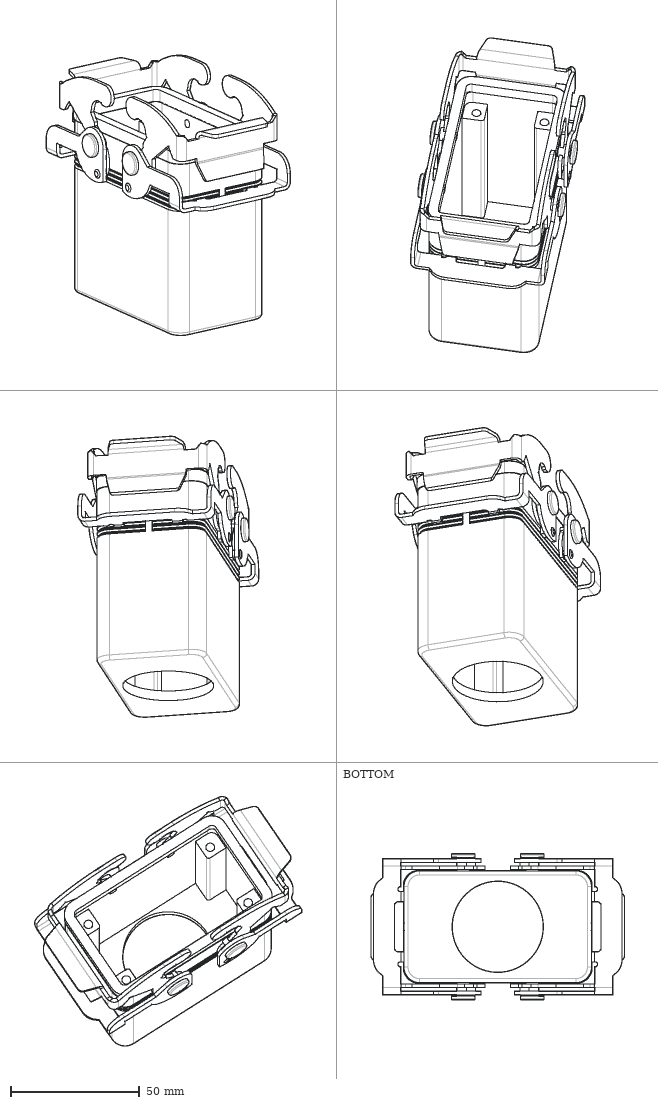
import cadquery as cq
import math

BODY_X = 73.0
BODY_Y = 43.5
BAND_X = 73.6
BAND_Y = 43.9
CORNER_RADIUS = 6.0
HOUSING_HEIGHT = 75.9
BAND_BOTTOM_Z = 71.0
BASE_FILLET = 1.6

MOUTH_X = 65.7
MOUTH_Y = 36.0
MOUTH_CORNER = 2.0
CAVITY_UNDERCUT = 0.6
CAVITY_X = MOUTH_X + 2 * CAVITY_UNDERCUT
CAVITY_Y = MOUTH_Y + 2 * CAVITY_UNDERCUT
CAVITY_CORNER = 3.0
FLOOR_THICKNESS = 4.0
FLOOR_HOLE_RADIUS = 17.7

POST_X = 8.5
POST_Y = 8.7
POST_TOP_Z = 64.0
POST_CORNER = 1.1
SCREW_HOLE_X = 28.4
SCREW_HOLE_Y = 13.5
SCREW_HOLE_RADIUS = 1.7
SCREW_HOLE_DEPTH = 19.8
DRILL_POINT_ANGLE = 118.0

GROOVE_COUNT = 3
GROOVE_TOP_Z = 57.4
GROOVE_PITCH = 2.1
GROOVE_WIDTH = 1.8
GROOVE_FLOOR = 0.4
GROOVE_DEPTH = 0.8
RIB_WIDTH = 2.8

SHEET = 1.5
BEND_INSIDE = 1.4
BEND_OUTSIDE = BEND_INSIDE + SHEET

PIVOT_X = -13.5
PIVOT_Z = 66.8
PIN_RADIUS = 2.6
PIN_TIP_RADIUS = 1.6
PIN_HEAD_RADIUS = 4.7
PIN_HEAD_INNER_Y = 27.0
PIN_HEAD_OUTER_Y = 28.5
PIN_HEAD_FILLET = 0.5
RIVET_X = -10.4
RIVET_Z = 55.8
RIVET_RADIUS = 1.8
RIVET_TIP_RADIUS = 1.1
RIVET_TIP_HEIGHT = 0.5

BRACKET_HALF_Y = 23.8
WALL_X = -41.8
WALL_BOTTOM_Z = 74.2
WALL_TOP_Z = 82.1
CHEEK_TOP_Z = 84.4
WALL_DIP_FLOOR_HALF_Y = 19.9
WALL_DIP_TOP_HALF_Y = 21.8
HOOK_TOP_Z = 91.9
BROW_START = (-38.9, CHEEK_TOP_Z)
BROW_MIDDLE = (-29.1, 89.7)
BROW_END_X = -17.2
HOOK_NOSE_X = -9.3
HOOK_NOSE_RADIUS = 4.4
HOOK_NOSE_END_X = -10.8
HOOK_THROAT_Z = 79.6
HOOK_THROAT_RADIUS = 4.8
HOOK_THROAT_ANGLES = (70, 125, 178)
THROAT_KNEE = (-18.8, 78.2)
HOOK_NECK_X = -16.3
HOOK_NECK_TOP_Z = 74.8
HOOK_NECK_BOTTOM_Z = 73.2
EYE_LEFT_X = -22.7
EYE_SHOULDER_Z = 70.3
EYE_Z = 64.9
EYE_RADIUS = 7.0
EYE_BULGE = (-8.1, 59.7)
EYE_BULGE_TOP = (-9.4, 65.3)
FOOT_INNER_X = -9.4
FOOT_OUTER_X = -12.9
FOOT_BOTTOM_Z = 54.4
NOTCH_PEAK = (-33.4, 78.7)
NOTCH_FOOT = (-35.9, 75.2)
NOTCH_FOOT_BEND = (-36.5, 74.5)
NOTCH_FOOT_END_X = -37.4

LIP_END_X = -49.5
LIP_ROOT_HALF_Y = 15.5
LIP_BEND_Z = WALL_TOP_Z + 0.4
LIP_SHOULDER_X = -47.9
LIP_SHOULDER_HALF_Y = 13.2
LIP_CORNER_X = -49.0
LIP_CORNER_HALF_Y = 12.5
LIP_END_HALF_Y = 11.0

FLAP_ANGLE = 25.0
FLAP_BEND_Z = 72.7
FLAP_LENGTH = 7.5
FLAP_ROOT_HALF_Y = 16.0
FLAP_SHOULDER = (15.6, 71.6)
FLAP_CORNER_START = (14.0, 66.0)
FLAP_CORNER_MIDDLE = (13.4, 65.0)
FLAP_TIP_HALF_Y = 12.2

HANDLE_HALF_Y = 26.5
PLATE_BOTTOM_Z = 54.4
PLATE_TOP_Z = PLATE_BOTTOM_Z + SHEET
LEG_OUTER_X = -44.8
LEG_INNER_X = -37.7
HANDLE_BEND_INSIDE = 1.3
HANDLE_BEND_OUTSIDE = HANDLE_BEND_INSIDE + SHEET
LEG_ROOT_Z = 57.3
LEG_TOP_Z = 67.8
LEG_UNDERSIDE_Z = 60.9
LEG_ELBOW_RADIUS = 6.9
LEG_HEAD_RADIUS = 7.0
LEG_NECK_X = -23.2
LEG_HEEL_X = -25.0
LEG_HEEL_BOTTOM_Z = 57.4
LEG_BOTTOM_X = -12.2
LEG_BOTTOM_Z = 52.3
LEG_CORNER_Z = 53.4

THUMB_X = -48.5
THUMB_HALF_Y = 12.9
THUMB_SHOULDER_MIDDLE = (-47.7, 16.0)
THUMB_SHOULDER_END = (-46.5, 17.7)
THUMB_ROOT_HALF_Y = 19.1
WINDOW_X = -40.2
WINDOW_CORNER = 1.4
TAB_INNER_Y = 9.7
TAB_OUTER_Y = 13.8
TAB_BOTTOM_Z = 53.6
TAB_TOP_Z = 55.7
RELIEF_WIDTH = 1.8
RELIEF_DEPTH = 1.1
RELIEF_CORNER = 0.7


def box_between(x_range, y_range, z_range):
    """Box given by its two limits along each axis."""
    return cq.Workplane("XY").box(
        x_range[1] - x_range[0],
        y_range[1] - y_range[0],
        z_range[1] - z_range[0],
        centered=False,
    ).translate((x_range[0], y_range[0], z_range[0]))


def rounded_block(size_x, size_y, corner, bottom, top):
    """Upright block centred on Z with rounded vertical edges."""
    block = cq.Workplane("XY").workplane(offset=bottom).rect(size_x, size_y).extrude(top - bottom)
    return block.edges("|Z").fillet(corner)


def cylinder_y(x, z, radius, y_start, y_end):
    """Cylinder along Y."""
    start = cq.Vector(x, y_start, z)
    return cq.Workplane(cq.Solid.makeCylinder(radius, y_end - y_start, start, cq.Vector(0, 1, 0)))


def on_both_y_sides(shape):
    return shape.union(shape.mirror("XZ"))


def seal_groove(top):
    """Trapezoidal groove round the body, interrupted by a rib on each X end."""
    slope = (GROOVE_WIDTH - GROOVE_FLOOR) / 2
    bottom = top - GROOVE_WIDTH
    ring = rounded_block(BAND_X, BAND_Y, CORNER_RADIUS, bottom, top)
    floor_size = (BODY_X - 2 * GROOVE_DEPTH, BODY_Y - 2 * GROOVE_DEPTH)
    floor_corner = CORNER_RADIUS - GROOVE_DEPTH
    core = rounded_block(*floor_size, floor_corner, bottom, top)
    taper = math.degrees(math.atan2(GROOVE_DEPTH, slope))
    for face_z, direction in ((bottom, 1), (top, -1)):
        flank = (
            cq.Workplane("XY")
            .workplane(offset=face_z)
            .sketch()
            .rect(BODY_X, BODY_Y)
            .vertices()
            .fillet(CORNER_RADIUS)
            .finalize()
            .extrude(direction * slope, taper=taper)
        )
        core = core.union(flank)
    rib = cq.Workplane("XY").workplane(offset=bottom).rect(BAND_X, RIB_WIDTH).extrude(GROOVE_WIDTH)
    return ring.cut(core).cut(rib)


def screw_hole():
    """Blind hole with a drill-point bottom."""
    point_height = SCREW_HOLE_RADIUS / math.tan(math.radians(DRILL_POINT_ANGLE / 2))
    bottom = POST_TOP_Z - SCREW_HOLE_DEPTH
    profile = [(0, POST_TOP_Z), (SCREW_HOLE_RADIUS, POST_TOP_Z), (SCREW_HOLE_RADIUS, bottom)]
    profile.append((0, bottom - point_height))
    return cq.Workplane("XZ").polyline(profile).close().revolve(360, (0, 0, 0), (0, 1, 0))


def make_housing():
    body = rounded_block(BODY_X, BODY_Y, CORNER_RADIUS, 0, HOUSING_HEIGHT)
    body = body.faces("<Z").edges().fillet(BASE_FILLET)
    band = rounded_block(BAND_X, BAND_Y, CORNER_RADIUS, BAND_BOTTOM_Z, HOUSING_HEIGHT)
    body = body.union(band)

    cavity = rounded_block(CAVITY_X, CAVITY_Y, CAVITY_CORNER, FLOOR_THICKNESS, BAND_BOTTOM_Z)
    mouth = rounded_block(MOUTH_X, MOUTH_Y, MOUTH_CORNER, BAND_BOTTOM_Z, HOUSING_HEIGHT)
    for side_x in (-1, 1):
        for side_y in (-1, 1):
            post = rounded_block(2 * POST_X, 2 * POST_Y, POST_CORNER, FLOOR_THICKNESS, POST_TOP_Z)
            cavity = cavity.cut(post.translate((side_x * CAVITY_X / 2, side_y * CAVITY_Y / 2, 0)))
    body = body.cut(cavity).cut(mouth)
    body = body.cut(cq.Workplane("XY").circle(FLOOR_HOLE_RADIUS).extrude(FLOOR_THICKNESS))

    for side_x in (-1, 1):
        for side_y in (-1, 1):
            body = body.cut(screw_hole().translate((side_x * SCREW_HOLE_X, side_y * SCREW_HOLE_Y, 0)))
    for index in range(GROOVE_COUNT):
        body = body.cut(seal_groove(GROOVE_TOP_Z - index * GROOVE_PITCH))
    for side in (-1, 1):
        body = body.cut(cylinder_y(side * PIVOT_X, PIVOT_Z, PIN_TIP_RADIUS, -BODY_Y / 2, BODY_Y / 2))
    return body


def bracket_outline():
    """Side outline of a cheek, running back to the outer face of the back wall."""
    nose_z = HOOK_TOP_Z - HOOK_NOSE_RADIUS
    nose_bottom = nose_z - HOOK_NOSE_RADIUS
    throat_start, throat_middle, throat_end = HOOK_THROAT_ANGLES
    eye_x = EYE_LEFT_X + EYE_RADIUS
    eye_bottom = EYE_Z - EYE_RADIUS
    eye_diagonal = EYE_RADIUS * math.sqrt(0.5)

    def throat(angle):
        radians = math.radians(angle)
        x = PIVOT_X + HOOK_THROAT_RADIUS * math.cos(radians)
        return x, HOOK_THROAT_Z + HOOK_THROAT_RADIUS * math.sin(radians)

    return (
        cq.Workplane("XZ")
        .moveTo(WALL_X, WALL_BOTTOM_Z)
        .lineTo(WALL_X, CHEEK_TOP_Z)
        .lineTo(*BROW_START)
        .threePointArc(BROW_MIDDLE, (BROW_END_X, HOOK_TOP_Z))
        .lineTo(HOOK_NOSE_X, HOOK_TOP_Z)
        .threePointArc((HOOK_NOSE_X + HOOK_NOSE_RADIUS, nose_z), (HOOK_NOSE_X, nose_bottom))
        .lineTo(HOOK_NOSE_END_X, nose_bottom)
        .lineTo(*throat(throat_start))
        .threePointArc(throat(throat_middle), throat(throat_end))
        .lineTo(*THROAT_KNEE)
        .lineTo(HOOK_NECK_X, HOOK_NECK_TOP_Z)
        .lineTo(HOOK_NECK_X, HOOK_NECK_BOTTOM_Z)
        .lineTo(*EYE_BULGE_TOP)
        .threePointArc(EYE_BULGE, (FOOT_INNER_X, FOOT_BOTTOM_Z))
        .lineTo(FOOT_OUTER_X, FOOT_BOTTOM_Z)
        .lineTo(FOOT_OUTER_X, eye_bottom)
        .lineTo(eye_x, eye_bottom)
        .threePointArc((eye_x - eye_diagonal, EYE_Z - eye_diagonal), (EYE_LEFT_X, EYE_Z))
        .lineTo(EYE_LEFT_X, EYE_SHOULDER_Z)
        .lineTo(*NOTCH_PEAK)
        .lineTo(*NOTCH_FOOT)
        .threePointArc(NOTCH_FOOT_BEND, (NOTCH_FOOT_END_X, WALL_BOTTOM_Z))
        .close()
        .extrude(BRACKET_HALF_Y, both=True)
    )


def upright_channel():
    """U-shaped sheet standing upright: the back wall and both cheeks, rounded at the bends."""
    height = HOOK_TOP_Z
    reach = -WALL_X
    outer = box_between((WALL_X, 0), (-BRACKET_HALF_Y, BRACKET_HALF_Y), (0, height))
    outer = outer.edges("|Z and <X").fillet(BEND_OUTSIDE)
    inner_half_y = BRACKET_HALF_Y - SHEET
    inner = box_between((WALL_X + SHEET, reach), (-inner_half_y, inner_half_y), (0, height))
    inner = inner.edges("|Z and <X").fillet(BEND_INSIDE)
    return outer.cut(inner)


def wall_dip():
    """Lowered middle of the back wall's top edge."""
    return (
        cq.Workplane("YZ")
        .workplane(offset=WALL_X)
        .polyline(
            [
                (-WALL_DIP_FLOOR_HALF_Y, WALL_TOP_Z),
                (WALL_DIP_FLOOR_HALF_Y, WALL_TOP_Z),
                (WALL_DIP_TOP_HALF_Y, CHEEK_TOP_Z),
                (-WALL_DIP_TOP_HALF_Y, CHEEK_TOP_Z),
            ]
        )
        .close()
        .extrude(SHEET)
    )


def lip():
    """Thumb lip that curls outward from the top of the back wall and tapers toward its end."""
    bend_x = WALL_X - BEND_INSIDE
    diagonal = math.sqrt(0.5)
    profile = (
        cq.Workplane("XZ")
        .moveTo(WALL_X, WALL_TOP_Z)
        .lineTo(WALL_X + SHEET, WALL_TOP_Z)
        .lineTo(WALL_X + SHEET, LIP_BEND_Z)
        .threePointArc(
            (bend_x + BEND_OUTSIDE * diagonal, LIP_BEND_Z + BEND_OUTSIDE * diagonal),
            (bend_x, LIP_BEND_Z + BEND_OUTSIDE),
        )
        .lineTo(LIP_END_X, LIP_BEND_Z + BEND_OUTSIDE)
        .lineTo(LIP_END_X, LIP_BEND_Z + BEND_INSIDE)
        .lineTo(bend_x, LIP_BEND_Z + BEND_INSIDE)
        .threePointArc(
            (bend_x + BEND_INSIDE * diagonal, LIP_BEND_Z + BEND_INSIDE * diagonal),
            (WALL_X, LIP_BEND_Z),
        )
        .close()
        .extrude(LIP_ROOT_HALF_Y, both=True)
    )
    plan = (
        cq.Workplane("XY")
        .moveTo(WALL_X + SHEET, -LIP_ROOT_HALF_Y)
        .lineTo(WALL_X + SHEET, LIP_ROOT_HALF_Y)
        .lineTo(LIP_SHOULDER_X, LIP_SHOULDER_HALF_Y)
        .threePointArc((LIP_CORNER_X, LIP_CORNER_HALF_Y), (LIP_END_X, LIP_END_HALF_Y))
        .lineTo(LIP_END_X, -LIP_END_HALF_Y)
        .threePointArc((LIP_CORNER_X, -LIP_CORNER_HALF_Y), (LIP_SHOULDER_X, -LIP_SHOULDER_HALF_Y))
        .close()
        .extrude(HOOK_TOP_Z)
    )
    return profile.intersect(plan)


def flap():
    """Skirt that hangs from the back wall and slants outward, narrowing to rounded corners."""
    angle = math.radians(FLAP_ANGLE)
    bend_x = WALL_X - BEND_INSIDE

    def bend_point(radius, turn):
        return bend_x + radius * math.cos(turn), FLAP_BEND_Z - radius * math.sin(turn)

    def flap_end(start):
        return start[0] - FLAP_LENGTH * math.sin(angle), start[1] - FLAP_LENGTH * math.cos(angle)

    upper_end = flap_end(bend_point(BEND_INSIDE, angle))
    lower_end = flap_end(bend_point(BEND_OUTSIDE, angle))
    profile = (
        cq.Workplane("XZ")
        .moveTo(WALL_X, WALL_BOTTOM_Z)
        .lineTo(WALL_X, FLAP_BEND_Z)
        .threePointArc(bend_point(BEND_INSIDE, angle / 2), bend_point(BEND_INSIDE, angle))
        .lineTo(*upper_end)
        .lineTo(*lower_end)
        .lineTo(*bend_point(BEND_OUTSIDE, angle))
        .threePointArc(bend_point(BEND_OUTSIDE, angle / 2), (WALL_X + SHEET, FLAP_BEND_Z))
        .lineTo(WALL_X + SHEET, WALL_BOTTOM_Z)
        .close()
        .extrude(BRACKET_HALF_Y, both=True)
    )
    front = (
        cq.Workplane("YZ")
        .moveTo(0, WALL_BOTTOM_Z)
        .lineTo(FLAP_ROOT_HALF_Y, WALL_BOTTOM_Z)
        .lineTo(*FLAP_SHOULDER)
        .lineTo(*FLAP_CORNER_START)
        .threePointArc(FLAP_CORNER_MIDDLE, (FLAP_TIP_HALF_Y, lower_end[1]))
        .lineTo(0, lower_end[1])
        .close()
        .extrude(LIP_END_X)
    )
    front = on_both_y_sides(front)
    return profile.intersect(front)


def make_bracket():
    bracket = bracket_outline().intersect(upright_channel()).cut(wall_dip())
    return bracket.union(lip()).union(flap())


def handle_leg():
    """Leg on the +Y side: an elbow, a straight arm and a broad head round the pivot."""
    diagonal = LEG_ELBOW_RADIUS * math.sqrt(0.5)
    elbow_x = LEG_OUTER_X + LEG_ELBOW_RADIUS
    elbow_z = LEG_TOP_Z - LEG_ELBOW_RADIUS
    neck_dx = LEG_NECK_X - PIVOT_X
    neck_dz = LEG_TOP_Z - PIVOT_Z
    neck_angle = math.atan2(neck_dz, neck_dx)
    tangent_angle = neck_angle - math.acos(LEG_HEAD_RADIUS / math.hypot(neck_dx, neck_dz))
    tangent_x = PIVOT_X + LEG_HEAD_RADIUS * math.cos(tangent_angle)
    tangent_z = PIVOT_Z + LEG_HEAD_RADIUS * math.sin(tangent_angle)
    head_x = PIVOT_X + LEG_HEAD_RADIUS
    head_diagonal = LEG_HEAD_RADIUS * math.sqrt(0.5)
    return (
        cq.Workplane("XZ", origin=(0, HANDLE_HALF_Y, 0))
        .moveTo(LEG_OUTER_X, LEG_ROOT_Z)
        .lineTo(LEG_OUTER_X, elbow_z)
        .threePointArc((elbow_x - diagonal, elbow_z + diagonal), (elbow_x, LEG_TOP_Z))
        .lineTo(LEG_NECK_X, LEG_TOP_Z)
        .lineTo(tangent_x, tangent_z)
        .threePointArc((PIVOT_X + head_diagonal, PIVOT_Z + head_diagonal), (head_x, PIVOT_Z))
        .lineTo(head_x, LEG_CORNER_Z)
        .threePointArc((LEG_BOTTOM_X, LEG_BOTTOM_Z), (LEG_NECK_X, LEG_HEEL_BOTTOM_Z))
        .lineTo(LEG_HEEL_X, LEG_UNDERSIDE_Z)
        .lineTo(LEG_INNER_X, LEG_UNDERSIDE_Z)
        .lineTo(LEG_INNER_X, LEG_ROOT_Z)
        .close()
        .extrude(SHEET)
    )


def handle_bend():
    """Strip along Y under both legs, turned up at its two ends to meet them."""
    x_range = (LEG_OUTER_X, LEG_INNER_X)
    inner_half_y = HANDLE_HALF_Y - SHEET
    outer = box_between(x_range, (-HANDLE_HALF_Y, HANDLE_HALF_Y), (PLATE_BOTTOM_Z, LEG_ROOT_Z))
    outer = outer.edges("|X and <Z").fillet(HANDLE_BEND_OUTSIDE)
    inner = box_between(x_range, (-inner_half_y, inner_half_y), (PLATE_TOP_Z, LEG_TOP_Z))
    inner = inner.edges("|X and <Z").fillet(HANDLE_BEND_INSIDE)
    return outer.cut(inner)


def thumb_plate():
    """Part of the thumb plate that stands out beyond the legs, with its rounded shoulders."""
    half = (
        cq.Workplane("XY")
        .workplane(offset=PLATE_BOTTOM_Z)
        .moveTo(LEG_OUTER_X, 0)
        .lineTo(THUMB_X, 0)
        .lineTo(THUMB_X, THUMB_HALF_Y)
        .threePointArc(THUMB_SHOULDER_MIDDLE, THUMB_SHOULDER_END)
        .lineTo(LEG_OUTER_X, THUMB_ROOT_HALF_Y)
        .close()
        .extrude(SHEET)
    )
    return on_both_y_sides(half)


def plate_window():
    """Recess in the plate's inner edge, between the tabs."""
    window = box_between(
        (WINDOW_X, LEG_INNER_X), (-TAB_INNER_Y, TAB_INNER_Y), (PLATE_BOTTOM_Z, PLATE_TOP_Z)
    )
    return window.edges("|Z and <X").fillet(WINDOW_CORNER)


def tab_relief():
    """Round-ended notch beside the tab on the +Y side."""
    x_range = (LEG_INNER_X - RELIEF_DEPTH, LEG_INNER_X)
    notch = box_between(x_range, (TAB_OUTER_Y, TAB_OUTER_Y + RELIEF_WIDTH), (PLATE_BOTTOM_Z, PLATE_TOP_Z))
    return notch.edges("|Z and <X").fillet(RELIEF_CORNER)


def stop_tab():
    """Tab on the +Y side that reaches the end of the housing."""
    return box_between(
        (LEG_INNER_X, -BODY_X / 2), (TAB_INNER_Y, TAB_OUTER_Y), (TAB_BOTTOM_Z, TAB_TOP_Z)
    )


def make_handle():
    handle = handle_bend().union(thumb_plate())
    handle = handle.cut(plate_window()).cut(on_both_y_sides(tab_relief()))
    return handle.union(on_both_y_sides(stop_tab())).union(on_both_y_sides(handle_leg()))


def pivot_pin():
    """Headed pin on the +Y side, stepped down where it enters the housing wall."""
    tip = cylinder_y(PIVOT_X, PIVOT_Z, PIN_TIP_RADIUS, CAVITY_Y / 2, BODY_Y / 2)
    shank = cylinder_y(PIVOT_X, PIVOT_Z, PIN_RADIUS, BODY_Y / 2, PIN_HEAD_INNER_Y)
    head = cylinder_y(PIVOT_X, PIVOT_Z, PIN_HEAD_RADIUS, PIN_HEAD_INNER_Y, PIN_HEAD_OUTER_Y)
    head = head.faces(">Y").edges().fillet(PIN_HEAD_FILLET)
    return tip.union(shank).union(head)


def rivet():
    """Rivet on the +Y side that ties handle and bracket together, with a conical tip."""
    shank = cylinder_y(RIVET_X, RIVET_Z, RIVET_RADIUS, BRACKET_HALF_Y, HANDLE_HALF_Y)
    tip = cq.Solid.makeCone(
        RIVET_RADIUS,
        RIVET_TIP_RADIUS,
        RIVET_TIP_HEIGHT,
        cq.Vector(RIVET_X, HANDLE_HALF_Y, RIVET_Z),
        cq.Vector(0, 1, 0),
    )
    return shank.union(cq.Workplane(tip))


def make_latch():
    latch = make_bracket().union(make_handle())
    return latch.union(on_both_y_sides(pivot_pin().union(rivet())))


housing = make_housing()
latches = []
for turn in (0, 180):
    latches.append(make_latch().rotate((0, 0, 0), (0, 0, 1), turn).solids().val())

result = cq.Compound.makeCompound([housing.solids().val(), *latches])